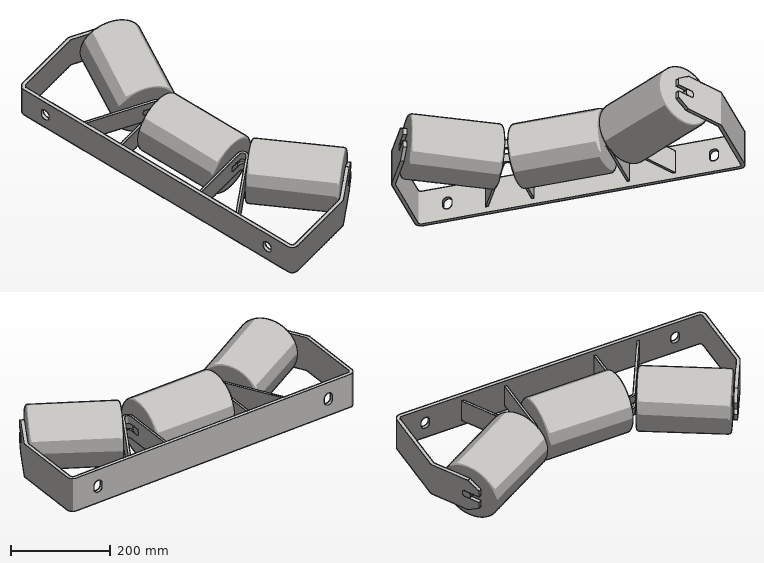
import cadquery as cq
import math


TROUGH_ANGLE = 30.0

FRAME_WIDTH = 700.0
FRAME_HEIGHT = 79.0
FRAME_THICKNESS = 8.0
FRAME_BEND_RADIUS = 14.0
SIDE_TOP = 160.0
ARM_TIP = 264.0
TIP_CHAMFER_LENGTH = 26.5
TIP_CHAMFER_HEIGHT = 17.0

MOUNT_SLOT_SPACING = 565.5
MOUNT_SLOT_WIDTH = 19.5
MOUNT_SLOT_LENGTH = 28.0

ROLLER_DIAMETER = 133.0
ROLLER_FILLET = 6.0
SHAFT_DIAMETER = 19.5
SHAFT_FLATS = 15.0
END_GAP = 3.0
ROLLER_LENGTH = 192.0
LEVEL_ROLLER_Y = 125.0
TILTED_ROLLER_Y = 184.0

BRACKET_HEIGHT = 52.5
BRACKET_THICKNESS = 5.0
BRACKET_BEND_RADIUS = 12.0
BRACKET_TOP = 153.0

SIN = math.sin(math.radians(TROUGH_ANGLE))
COS = math.cos(math.radians(TROUGH_ANGLE))
HALF_WIDTH = FRAME_WIDTH / 2


def along_axis(x, y):
    """Position of a point measured along the axis of the left tilted roller."""
    return x * COS - y * SIN


arm_bend_x = -HALF_WIDTH + FRAME_BEND_RADIUS
arm_outer_face = along_axis(arm_bend_x, SIDE_TOP) - FRAME_BEND_RADIUS
arm_inner_face = arm_outer_face + FRAME_THICKNESS

upright_face_x = -(ROLLER_LENGTH / 2 + END_GAP)
bracket_bend_x = upright_face_x - BRACKET_BEND_RADIUS
bracket_bend_y = BRACKET_TOP - BRACKET_BEND_RADIUS
leaning_face = along_axis(bracket_bend_x, bracket_bend_y) - BRACKET_BEND_RADIUS

tilted_roller_axis = (leaning_face + arm_inner_face) / 2
tilted_roller_x = (tilted_roller_axis + TILTED_ROLLER_Y * SIN) / COS


def tilt_into_place(shape):
    """Move a shape from the X axis onto the axis of the left tilted roller."""
    tilted = shape.rotate((0, 0, 0), (0, 0, 1), -TROUGH_ANGLE)
    return tilted.translate((tilted_roller_x, TILTED_ROLLER_Y, 0))


def flatted_shaft(start, end):
    """Shaft along X with two flats facing up and down."""
    length = end - start
    bar = cq.Workplane("YZ").workplane(offset=start).circle(SHAFT_DIAMETER / 2).extrude(length)
    flats = cq.Workplane("XY").box(length, SHAFT_DIAMETER, SHAFT_FLATS).translate(((start + end) / 2, 0, 0))
    return bar.intersect(flats)


def shaft_slot(start, end, depth):
    """Cutter for a shaft seat on the X axis, open for a given distance toward +Y."""
    channel = cq.Workplane("XY").box(end - start, depth, SHAFT_FLATS)
    return flatted_shaft(start, end).union(channel.translate(((start + end) / 2, depth / 2, 0)))


def make_roller(shaft_start, shaft_end):
    """Roller with its shaft, centred on the X axis."""
    barrel = cq.Workplane("YZ").workplane(offset=-ROLLER_LENGTH / 2)
    barrel = barrel.circle(ROLLER_DIAMETER / 2).extrude(ROLLER_LENGTH)
    barrel = barrel.faces("<X or >X").edges().fillet(ROLLER_FILLET)
    return barrel.union(flatted_shaft(shaft_start, shaft_end))


def frame_strip():
    """Plain strip: a base, two upright sides and two arms leaning inward."""
    bend = FRAME_BEND_RADIUS - FRAME_THICKNESS / 2
    side_x = HALF_WIDTH - FRAME_THICKNESS / 2
    base_y = FRAME_THICKNESS / 2
    corner_x = HALF_WIDTH - FRAME_BEND_RADIUS
    arm_start = (corner_x + bend * COS, SIDE_TOP + bend * SIN)
    arm_outer_start_y = SIDE_TOP + FRAME_BEND_RADIUS * SIN
    arm_length = (ARM_TIP - arm_outer_start_y) / COS
    arm_end = (arm_start[0] - arm_length * SIN, arm_start[1] + arm_length * COS)

    path = (
        cq.Workplane("XY")
        .moveTo(-arm_end[0], arm_end[1])
        .lineTo(-arm_start[0], arm_start[1])
        .tangentArcPoint((-side_x, SIDE_TOP), relative=False)
        .lineTo(-side_x, FRAME_BEND_RADIUS)
        .tangentArcPoint((-corner_x, base_y), relative=False)
        .lineTo(corner_x, base_y)
        .tangentArcPoint((side_x, FRAME_BEND_RADIUS), relative=False)
        .lineTo(side_x, SIDE_TOP)
        .tangentArcPoint(arm_start, relative=False)
        .lineTo(*arm_end)
    )
    arm_direction = cq.Vector(-SIN, -COS, 0)
    section_plane = cq.Plane(origin=(-arm_end[0], arm_end[1], 0), xDir=(0, 0, 1), normal=arm_direction)
    return cq.Workplane(section_plane).rect(FRAME_HEIGHT, FRAME_THICKNESS).sweep(path)


def arm_tip_cutter():
    """Shaft slot and the two corner chamfers of the left arm."""
    start = arm_outer_face - tilted_roller_axis
    end = arm_inner_face - tilted_roller_axis
    outer_face_x = (arm_outer_face + ARM_TIP * SIN) / COS
    tip = (outer_face_x - tilted_roller_x) * SIN + (ARM_TIP - TILTED_ROLLER_Y) * COS
    half_height = FRAME_HEIGHT / 2
    corner = (
        cq.Workplane("YZ")
        .workplane(offset=start)
        .moveTo(tip, half_height)
        .lineTo(tip - TIP_CHAMFER_LENGTH, half_height)
        .lineTo(tip, half_height - TIP_CHAMFER_HEIGHT)
        .close()
        .extrude(end - start)
    )
    slot = shaft_slot(start, end, tip)
    return tilt_into_place(slot.union(corner).union(corner.mirror("XY")))


def make_frame():
    tip_cutter = arm_tip_cutter()
    mount_slots = (
        cq.Workplane("XZ")
        .pushPoints([(-MOUNT_SLOT_SPACING / 2, 0), (MOUNT_SLOT_SPACING / 2, 0)])
        .slot2D(MOUNT_SLOT_LENGTH, MOUNT_SLOT_WIDTH, 90)
        .extrude(-FRAME_THICKNESS)
    )
    return frame_strip().cut(tip_cutter).cut(tip_cutter.mirror("YZ")).cut(mount_slots)


def make_left_bracket():
    """Strip folded over a bend, standing on the frame base and slotted for two shafts."""
    bend = BRACKET_BEND_RADIUS - BRACKET_THICKNESS / 2
    upright_x = upright_face_x - BRACKET_THICKNESS / 2
    lean_start = (bracket_bend_x - bend * COS, bracket_bend_y + bend * SIN)
    lean_length = lean_start[1] / COS
    path = (
        cq.Workplane("XY")
        .moveTo(upright_x, 0)
        .lineTo(upright_x, bracket_bend_y)
        .tangentArcPoint(lean_start, relative=False)
        .lineTo(lean_start[0] - lean_length * SIN, 0)
    )
    strip = (
        cq.Workplane("XZ")
        .center(upright_x, 0)
        .rect(BRACKET_THICKNESS, BRACKET_HEIGHT)
        .sweep(path)
    )
    below_base_top = cq.Workplane("XY").box(FRAME_WIDTH, 2 * FRAME_THICKNESS, BRACKET_HEIGHT)

    upright_slot = shaft_slot(
        upright_face_x - BRACKET_THICKNESS, upright_face_x, BRACKET_TOP - LEVEL_ROLLER_Y
    ).translate((0, LEVEL_ROLLER_Y, 0))
    leaning_start = leaning_face - tilted_roller_axis
    leaning_slot = tilt_into_place(
        shaft_slot(leaning_start, leaning_start + BRACKET_THICKNESS, BRACKET_BEND_RADIUS)
    )
    crest_slot = (
        cq.Workplane("XY")
        .box(2 * BRACKET_BEND_RADIUS, BRACKET_BEND_RADIUS, SHAFT_FLATS)
        .translate((bracket_bend_x, bracket_bend_y + BRACKET_BEND_RADIUS / 2, 0))
    )
    return strip.cut(below_base_top).cut(upright_slot).cut(leaning_slot).cut(crest_slot)


frame = make_frame()

left_bracket = make_left_bracket()
brackets = [left_bracket, left_bracket.mirror("YZ")]

level_shaft_end = -upright_face_x + BRACKET_THICKNESS
level_roller = make_roller(-level_shaft_end, level_shaft_end)
level_roller = level_roller.translate((0, LEVEL_ROLLER_Y, 0))

left_roller = tilt_into_place(
    make_roller(
        arm_outer_face - tilted_roller_axis,
        leaning_face + BRACKET_THICKNESS - tilted_roller_axis,
    )
)
rollers = [left_roller, level_roller, left_roller.mirror("YZ")]

result = cq.Compound.makeCompound([body.solids().val() for body in [frame, *brackets, *rollers]])